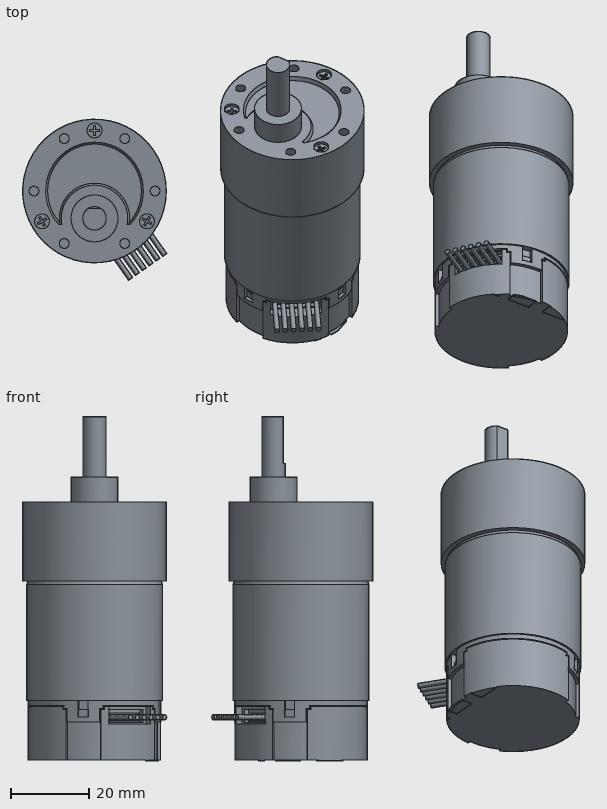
import cadquery as cq
import math


gearbox_diameter = 36.8
gearbox_height = 20.3
boss_diameter = 12.0
boss_height = 6.3
shaft_offset = 7.0
shaft_diameter = 6.0
shaft_length = 15.5
shaft_flat_length = 12.0
shaft_across_flat = 5.5

recess_radius = 12.5
recess_depth = 1.0
recess_draft = 0.5
island_radius = 9.0
recess_end_y = -8.6

bolt_circle_radius = 15.5
mount_hole_count = 6
mount_hole_diameter = 2.5
mount_hole_depth = 5.0
screw_count = 3
screw_start_angle = 90
screw_head_diameter = 3.8
screw_head_depth = 0.8
screw_cross_length = 2.5
screw_cross_width = 0.5
screw_cross_depth = 0.5

can_diameter = 34.8
can_height = 30.6
can_edge_setback = 0.3
can_edge_height = 0.9

cap_diameter = 34.0
cap_height = 15.2
panel_thickness = 0.9
collar_bottom = 9.7
wire_angle = -55
window_angles = [wire_angle - 45, wire_angle + 45, wire_angle + 180]
window_span = 31
panel_height = 13.7
panel_shoulder = 12.9
panel_shoulder_angle = 3.0
panel_gap = 0.25

latch_width = 2.6
latch_bottom = 11.0
latch_step = 12.95
latch_upper_depth = 1.3
latch_lower_depth = 0.9

slot_steps = [
    (13.0, 9.2, panel_height, 13.8),
    (11.0, 9.6, panel_shoulder, 12.5),
    (11.0, 10.0, 12.1, 11.5),
]

wire_count = 6
wire_diameter = 1.3
wire_pitch = 2.13
wire_start = 10.5
wire_end = 23.7
wire_height = 10.95

pad_spans = [(4.0, 10.7), (-6.5, -0.1), (-10.9, -9.3)]
pad_min_x = 13.1
pad_max_x = 16.4
pad_height = 0.2

cap_radius = cap_diameter / 2
core_radius = cap_radius - panel_thickness
can_top = cap_height + can_height
gearbox_top = can_top + gearbox_height
boss_top = gearbox_top + boss_height
shaft_top = boss_top + shaft_length


def cylinder(diameter, bottom, top, x=0, y=0):
    plane = cq.Workplane("XY", origin=(x, y, bottom))
    return plane.circle(diameter / 2).extrude(top - bottom)


def box(x_span, y_span, z_span):
    """Box between the given lower and upper limits along each axis."""
    lows, highs = zip(x_span, y_span, z_span)
    sizes = [high - low for low, high in zip(lows, highs)]
    return cq.Workplane("XY").box(*sizes, centered=False).translate(lows)


def turn(shape, angle):
    return shape.rotate((0, 0, 0), (0, 0, 1), angle)


def sector(start, end, height):
    """Pie-shaped slice of the end cap, from its underside to the given height."""
    def rim(angle):
        radians = math.radians(angle)
        return (cap_radius * math.cos(radians), cap_radius * math.sin(radians))

    outline = cq.Workplane("XY").lineTo(*rim(start)).threePointArc(rim((start + end) / 2), rim(end))
    return outline.close().extrude(height)


def panel(start, end, gap=0):
    """Cap panel with stepped upper corners, enlarged all round by the gap."""
    gap_angle = math.degrees(gap / cap_radius)
    low_start = start - gap_angle
    low_end = end + gap_angle
    low = sector(low_start, low_end, panel_shoulder + gap)
    high = sector(low_start + panel_shoulder_angle, low_end - panel_shoulder_angle, panel_height + gap)
    return low.union(high)


def make_end_cap():
    core = cylinder(2 * core_radius, 0, cap_height)
    collar = cylinder(cap_diameter, collar_bottom, cap_height)
    panels = cq.Workplane("XY")
    for index, window in enumerate(window_angles):
        next_window = window_angles[(index + 1) % len(window_angles)]
        start = window + window_span / 2
        end = start + (next_window - window) % 360 - window_span
        collar = collar.cut(panel(start, end, panel_gap))
        panels = panels.add(panel(start, end))
    return core.union(collar).union(panels.combine())


def make_latch_pocket():
    half_width = latch_width / 2
    y_span = (-half_width, half_width)
    upper = box((cap_radius - latch_upper_depth, cap_radius), y_span, (latch_step, cap_height))
    lower = box((cap_radius - latch_lower_depth, cap_radius), y_span, (latch_bottom, latch_step))
    return upper.union(lower)


def make_wire_opening():
    opening = cq.Workplane("XY")
    for width, bottom, top, floor in slot_steps:
        opening = opening.add(box((floor, cap_radius), (-width / 2, width / 2), (bottom, top)))
    return turn(opening.combine(), wire_angle)


def make_wires():
    wires = cq.Workplane("XY")
    for index in range(wire_count):
        offset = (index - (wire_count - 1) / 2) * wire_pitch
        plane = cq.Workplane("YZ", origin=(wire_start, offset, wire_height))
        wires = wires.add(plane.circle(wire_diameter / 2).extrude(wire_end - wire_start))
    return turn(wires.combine(), wire_angle)


def make_pads():
    disc = cylinder(cap_diameter, -pad_height, 0)
    pads = cq.Workplane("XY")
    for y_span in pad_spans:
        pads = pads.add(box((pad_min_x, pad_max_x), y_span, (-pad_height, 0)))
    return pads.combine().intersect(disc)


def make_can():
    can = cylinder(can_diameter, cap_height, can_top)
    return can.faces(">Z").chamfer(can_edge_height, can_edge_setback)


def tapered_disc(bottom_radius, top_radius, y):
    bottom = gearbox_top - recess_depth
    lower = cq.Workplane("XY", origin=(0, y, bottom)).circle(bottom_radius)
    return lower.workplane(offset=recess_depth).circle(top_radius).loft(ruled=True)


def make_face_recess():
    """Crescent recess whose walls lean outward towards the gearbox face."""
    bowl = tapered_disc(recess_radius - recess_draft, recess_radius, 0)
    island = tapered_disc(island_radius, island_radius - recess_draft, -shaft_offset)
    z_span = (gearbox_top - recess_depth, gearbox_top)
    keep = box((-recess_radius, recess_radius), (recess_end_y, recess_radius), z_span)
    return bowl.cut(island).intersect(keep)


def make_screw_recess():
    head_floor = gearbox_top - screw_head_depth
    recess = cylinder(screw_head_diameter, head_floor, gearbox_top)
    cross_plane = cq.Workplane("XY", origin=(0, 0, head_floor))
    for length, width in ((screw_cross_length, screw_cross_width), (screw_cross_width, screw_cross_length)):
        recess = recess.union(cross_plane.rect(length, width).extrude(-screw_cross_depth))
    return recess.translate((bolt_circle_radius, 0, 0))


def make_gearbox():
    gearbox = cylinder(gearbox_diameter, can_top, gearbox_top).cut(make_face_recess())
    hole = cylinder(mount_hole_diameter, gearbox_top - mount_hole_depth, gearbox_top, bolt_circle_radius)
    for index in range(mount_hole_count):
        gearbox = gearbox.cut(turn(hole, index * 360 / mount_hole_count))
    screw_recess = make_screw_recess()
    for index in range(screw_count):
        gearbox = gearbox.cut(turn(screw_recess, screw_start_angle + index * 360 / screw_count))
    return gearbox


def make_shaft():
    boss = cylinder(boss_diameter, gearbox_top, boss_top, y=-shaft_offset)
    shaft = cylinder(shaft_diameter, boss_top, shaft_top, y=-shaft_offset)
    radius = shaft_diameter / 2
    flat_y = -shaft_offset - radius + shaft_across_flat
    flat = box(
        (-radius, radius), (flat_y, -shaft_offset + radius), (shaft_top - shaft_flat_length, shaft_top)
    )
    return boss.union(shaft.cut(flat))


end_cap = make_end_cap()
latch_pocket = make_latch_pocket()
for window_angle in window_angles:
    end_cap = end_cap.cut(turn(latch_pocket, window_angle))
end_cap = end_cap.cut(make_wire_opening()).union(make_wires()).union(make_pads())

result = end_cap.union(make_can()).union(make_gearbox()).union(make_shaft())